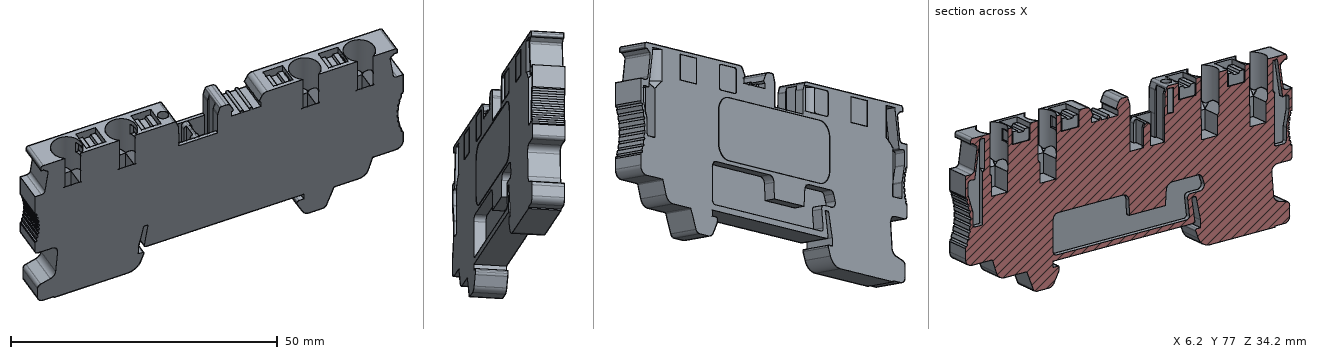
import cadquery as cq
import math

thickness = 6.2
length = 77.0
height = 34.2
side_x = -thickness / 2
half_length = length / 2

pocket_depth = 2.3
window_depth = 0.1
window_bottom = 28.6
window_top = 33.5
window_corner_radius = 0.5
outer_window_range = (22.3, 27.0)
inner_window_range = (10.85, 15.7)
field_y_range = (-16.2, 15.95)
field_z_range = (15.4, 27.5)
field_corner_radius = 2.9
left_pocket_foot_y = 36.65
right_pocket_foot_y = 37.0

well_diameter = 6.1
well_radius = well_diameter / 2
well_x = 0.55
well_positions = [30.6, 19.2, -19.2, -30.6]
well_floor = 27.4
tube_radius = 4.1
flare_height = 1.6
flare_growth = 1.15
hole_x = 0.2
hole_inward_shift = 0.15
hole_width = 3.85
hole_length = 3.7
hole_floor = 21.55
funnel_height = 1.8
funnel_angle = 35.0

button_positions = [25.3, 13.8, -13.8, -25.3]
button_x = 0.115
button_recess_width = 4.4
button_recess_length = 4.1
button_width = 3.55
button_length = 3.7
button_top = 33.3
button_recess_floor = 30.8
button_groove_width = 1.7
button_groove_floor_width = 1.15
button_groove_depth = 0.5
button_port_width = 2.2
button_port_top = 33.1
button_port_reach = 0.9

probe_x = 0.4
probe_y = -10.4
probe_diameter = 2.1
probe_floor = 30.8
probe_ramp_height = 1.15
probe_post_diameter = 4.0
bay_near_y = -9.2
bay_far_y = -11.8
bay_round_y = -12.5

shaft_rim = 27.9
shaft_near_y = -0.3
shaft_far_y = -8.4
shaft_width = 4.85
shaft_floor = 23.1
shaft_groove_width = 2.5
shaft_groove_depth = 0.4
bar_y = -4.3
bar_radius = 0.85
bar_neck_width = 2.6
bar_neck_thickness = 0.7

marker_rib_positions = [4.8, 6.7]
marker_rib_radius = 0.3
marker_rib_z = 31.2

groove_radius = 0.2
grip_top = 22.7
left_grip_bottom = 12.5
left_grip_sag = 1.1
right_grip_bottom = 15.4
right_grip_sag = 0.7
groove_count = 8


def rounded_wire(corners):
    """Closed YZ wire through (y, z, radius) corners; a radius of 0 leaves the corner sharp."""
    arcs = []
    for i, (y, z, radius) in enumerate(corners):
        here = cq.Vector(y, z)
        to_last = (cq.Vector(*corners[i - 1][:2]) - here).normalized()
        to_next = (cq.Vector(*corners[(i + 1) % len(corners)][:2]) - here).normalized()
        half_angle = to_last.getAngle(to_next) / 2
        setback = radius / math.tan(half_angle)
        bisector = (to_last + to_next).normalized()
        middle = here + bisector * (radius / math.sin(half_angle) - radius)
        arcs.append((radius, here + to_last * setback, middle, here + to_next * setback))
    wire = cq.Workplane("YZ").moveTo(*arcs[0][3].toTuple()[:2])
    for radius, start, middle, end in arcs[1:] + arcs[:1]:
        wire = wire.lineTo(*start.toTuple()[:2])
        if radius > 0:
            wire = wire.threePointArc(middle.toTuple()[:2], end.toTuple()[:2])
    return wire.close()


def side_pocket(corners, depth):
    """Cutter that sinks a rounded outline into the -X side."""
    return rounded_wire(corners).extrude(depth).translate((side_x, 0, 0))


def box(x_range, y_range, z_range):
    """Block spanning a pair of limits along each axis."""
    size = [abs(b - a) for a, b in (x_range, y_range, z_range)]
    centre = [(a + b) / 2 for a, b in (x_range, y_range, z_range)]
    return cq.Workplane("XY").box(*size).translate(tuple(centre))


def upright(x, y, radius, bottom, top):
    """Vertical cylinder between two heights."""
    return cq.Workplane("XY", origin=(x, y, bottom)).circle(radius).extrude(top - bottom)


def mirrored(corners):
    """The same corners on the -Y end, in reverse order to keep the winding."""
    return [(-y, z, radius) for y, z, radius in reversed(corners)]


def body():
    """Full side profile of the housing, with rail feet below and openings above."""
    upper_end = [
        (37.3, height, 0.55),
        (37.3, 33.0, 0.15),
        (36.65, 33.0, 0),
        (35.7, 32.3, 0.5),
        (36.5, 27.0, 0.8),
        (half_length, 27.0, 0),
    ]
    left_foot = [
        (half_length, 8.7, 1.7),
        (32.1, 8.7, 0.2),
        (30.7, 4.5, 2.15),
        (24.0, 4.5, 0.2),
        (22.25, 0, 1.1),
        (17.95, 0, 1.55),
        (16.3, 3.0, 1.15),
        (16.3, 4.0, 0.4),
        (17.7, 4.0, 0),
        (17.7, 5.15, 0),
    ]
    clip_slot = [
        (-15.7, 5.15, 0.4),
        (-14.85, 10.5, 0.2),
        (-15.8, 10.5, 0.3),
        (-16.9, 5.55, 0),
        (-16.9, 4.0, 0),
    ]
    right_foot = [
        (-15.55, 4.0, 0.3),
        (-17.1, 0, 3.1),
        (-34.5, 0, 0),
        (-34.6, 0.2, 0),
        (-37.95, 0.2, 1.2),
        (-37.95, 4.3, 0.9),
        (-34.3, 5.4, 1.55),
        (-33.65, 12.6, 1.2),
        (-half_length, 12.6, 0.6),
    ]
    bridge_opening = [
        (-9.0, height, 0.6),
        (-8.5, 32.65, 0.4),
        (shaft_far_y, shaft_rim, 0),
        (shaft_near_y, shaft_rim, 0),
        (shaft_near_y, 32.5, 1.15),
        (0.2, height, 0.4),
        (2.15, height, 1.1),
        (3.0, 32.35, 0),
        (2.6, 31.95, 0),
        (2.6, 30.95, 0),
    ]
    marker_seat = [
        (8.7, 30.95, 0),
        (8.7, 31.95, 0),
        (8.3, 32.35, 0),
        (9.3, height, 1.2),
    ]
    corners = upper_end + left_foot + clip_slot + right_foot
    corners += mirrored(upper_end) + bridge_opening + marker_seat
    block = rounded_wire(corners).extrude(thickness).translate((side_x, 0, 0))
    for y in marker_rib_positions:
        rib = cq.Workplane("YZ").center(y, marker_rib_z).circle(marker_rib_radius)
        block = block.union(rib.extrude(thickness / 2, both=True))
    return block


def grip(end, bottom, sag):
    """Hollow of a finger grip on the end facing end * Y, with grooves spread along its arc."""
    half_chord = (grip_top - bottom) / 2
    middle = (grip_top + bottom) / 2
    radius = (half_chord**2 + sag**2) / (2 * sag)
    centre_y = half_length - sag + radius
    half_angle = math.asin(half_chord / radius)
    hollow = cq.Workplane("YZ").center(end * centre_y, middle).circle(radius).extrude(thickness)
    for i in range(groove_count):
        angle = half_angle * ((2 * i + 1) / groove_count - 1)
        groove_y = end * (centre_y - radius * math.cos(angle))
        groove_z = middle + radius * math.sin(angle)
        groove = cq.Workplane("YZ").center(groove_y, groove_z).circle(groove_radius)
        hollow = hollow.union(groove.extrude(thickness))
    return hollow.translate((side_x, 0, 0))


def end_pocket(end, foot_y):
    """Deep pocket behind a finger grip, open around the tube of the outermost well."""
    flare_bottom = well_floor - flare_height
    inner_wall_y = 34.4
    corners = [
        (34.95, window_top, 0),
        (32.35, window_top, 0),
        (32.35, flare_bottom, 0),
        (inner_wall_y, flare_bottom, 0),
        (inner_wall_y, 16.3, 0.2),
        (foot_y, 16.3, 0.5),
        (foot_y, 19.5, 0.8),
        (37.7, 22.9, 0.4),
        (37.7, 25.9, 0.5),
        (36.2, 25.7, 0.15),
    ]
    if end < 0:
        corners = mirrored(corners)
    tube_y = end * abs(well_positions[0])
    tube = upright(well_x, tube_y, tube_radius, well_floor, height)
    flare = (
        cq.Workplane("XY", origin=(well_x, tube_y, well_floor))
        .circle(tube_radius)
        .workplane(offset=-flare_height)
        .circle(tube_radius + flare_growth)
        .loft()
    )
    flare = flare.intersect(box((side_x, -side_x), (0, end * inner_wall_y), (0, height)))
    return side_pocket(corners, pocket_depth).cut(tube).cut(flare)


def label_pocket():
    """Deep pocket above the rail seat, interrupted by a tab hanging from its top edge."""
    corners = [
        (17.7, 14.6, 1.1),
        (0.1, 14.6, 1.3),
        (-0.15, 10.25, 0),
        (-8.7, 10.25, 0),
        (-9.0, 14.6, 1.3),
        (-17.0, 14.6, 0.9),
        (-18.2, 11.4, 1.0),
        (-13.7, 11.4, 0.8),
        (-14.3, 6.3, 0.6),
        (17.7, 6.3, 0.7),
    ]
    return side_pocket(corners, pocket_depth)


def rectangle(y_range, z_range, radius):
    """Corners of an upright rectangle with equal corner radii."""
    low_y, high_y = y_range
    low_z, high_z = z_range
    points = [(low_y, low_z), (high_y, low_z), (high_y, high_z), (low_y, high_z)]
    return [(y, z, radius) for y, z in points]


def side_windows():
    """Shallow panels on the -X side: four small windows and the large middle field."""
    window_z = (window_bottom, window_top)
    outer_window = rectangle(outer_window_range, window_z, 0)
    inner_window = rectangle(inner_window_range, window_z, window_corner_radius)
    probe_window = rectangle((-inner_window_range[1], bay_far_y), window_z, window_corner_radius)
    field = rectangle(field_y_range, field_z_range, field_corner_radius)
    outlines = [outer_window, mirrored(outer_window), inner_window, probe_window, field]
    panels = side_pocket(outlines[0], window_depth)
    for outline in outlines[1:]:
        panels = panels.union(side_pocket(outline, window_depth))
    return panels


def probe_bay():
    """Bay in the -X side that leaves the round post of the probe hole standing."""
    window_z = (window_bottom, window_top)
    post_radius = probe_post_diameter / 2
    bay = side_pocket(rectangle((bay_far_y, bay_near_y), window_z, 0), pocket_depth)
    bay = bay.cut(upright(probe_x, probe_y, post_radius, 0, height))
    rounding_x = side_x + math.sqrt(post_radius**2 - (bay_far_y - bay_round_y) ** 2)
    return bay.cut(upright(rounding_x, bay_round_y, post_radius, 0, height))


def probe_hole():
    """Blind hole whose floor ramps up over its -Y half."""
    radius = probe_diameter / 2
    ramp = (
        cq.Workplane("YZ")
        .moveTo(probe_y, probe_floor)
        .lineTo(probe_y - radius, probe_floor)
        .lineTo(probe_y - radius, probe_floor + probe_ramp_height)
        .close()
        .extrude(thickness / 2, both=True)
    )
    return upright(probe_x, probe_y, radius, probe_floor, height).cut(ramp)


def conductor_well(y):
    """Round well that funnels down into a blind square hole."""
    hole_y = y - math.copysign(hole_inward_shift, y)
    barrel = upright(well_x, y, well_radius, well_floor, height)
    funnel_floor = well_floor - funnel_height
    funnel = (
        cq.Workplane("XY", origin=(hole_x, hole_y, funnel_floor))
        .rect(hole_width, hole_length)
        .extrude(funnel_height, taper=-funnel_angle)
        .intersect(upright(well_x, y, well_radius, funnel_floor, well_floor))
    )
    hole = (
        cq.Workplane("XY", origin=(hole_x, hole_y, hole_floor))
        .rect(hole_width, hole_length)
        .extrude(funnel_floor - hole_floor)
    )
    return barrel.union(funnel).union(hole)


def button_recess(y):
    """Recess around a release button whose top carries a sloped cross groove."""
    recess = (
        cq.Workplane("XY", origin=(button_x, y, button_recess_floor))
        .rect(button_recess_width, button_recess_length)
        .extrude(height - button_recess_floor)
    )
    groove_floor = button_top - button_groove_depth
    button = (
        cq.Workplane("YZ")
        .moveTo(y - button_length / 2, button_recess_floor)
        .lineTo(y - button_length / 2, button_top)
        .lineTo(y - button_groove_width / 2, button_top)
        .lineTo(y - button_groove_floor_width / 2, groove_floor)
        .lineTo(y + button_groove_floor_width / 2, groove_floor)
        .lineTo(y + button_groove_width / 2, button_top)
        .lineTo(y + button_length / 2, button_top)
        .lineTo(y + button_length / 2, button_recess_floor)
        .close()
        .extrude(button_width / 2, both=True)
        .translate((button_x, 0, 0))
    )
    return recess.cut(button)


def button_port(y):
    """Opening through the thin wall between a button recess and its outboard well."""
    outward = math.copysign(1, y)
    half_port = button_port_width / 2
    port_x = (button_x - half_port, button_x + half_port)
    port_start = button_length / 2
    port_end = button_recess_length / 2 + button_port_reach
    port_y = (y + outward * port_start, y + outward * port_end)
    return box(port_x, port_y, (button_recess_floor, button_port_top))


def bridge_shaft():
    """Shaft between thin side walls, crossed by a round-topped bar with a narrow neck."""
    half_width = shaft_width / 2
    half_groove = shaft_groove_width / 2
    shaft = box((-half_width, half_width), (shaft_far_y, shaft_near_y), (shaft_floor, shaft_rim))
    groove_y = (shaft_far_y - shaft_groove_depth, shaft_near_y + shaft_groove_depth)
    groove = box((-half_groove, half_groove), groove_y, (shaft_floor, height))
    bar_axis_z = shaft_rim - bar_radius
    bar_range = (bar_y - bar_radius, bar_y + bar_radius)
    bar = box((-half_width, half_width), bar_range, (shaft_floor, bar_axis_z))
    crown = cq.Workplane("YZ").center(bar_y, bar_axis_z).circle(bar_radius)
    bar = bar.union(crown.extrude(half_width, both=True))
    half_neck = bar_neck_width / 2
    for side in (-1, 1):
        neck_y = (bar_y + side * bar_neck_thickness / 2, bar_y + side * 2 * bar_radius)
        bar = bar.cut(box((-half_neck, half_neck), neck_y, (shaft_floor, height)))
    return shaft.union(groove).cut(bar)


result = body()
result = result.cut(grip(1, left_grip_bottom, left_grip_sag))
result = result.cut(grip(-1, right_grip_bottom, right_grip_sag))
result = result.cut(end_pocket(1, left_pocket_foot_y)).cut(end_pocket(-1, right_pocket_foot_y))
result = result.cut(label_pocket()).cut(side_windows()).cut(probe_bay())
for well_y in well_positions:
    result = result.cut(conductor_well(well_y))
for button_y in button_positions:
    result = result.cut(button_recess(button_y)).cut(button_port(button_y))
result = result.cut(bridge_shaft())
result = result.cut(probe_hole())